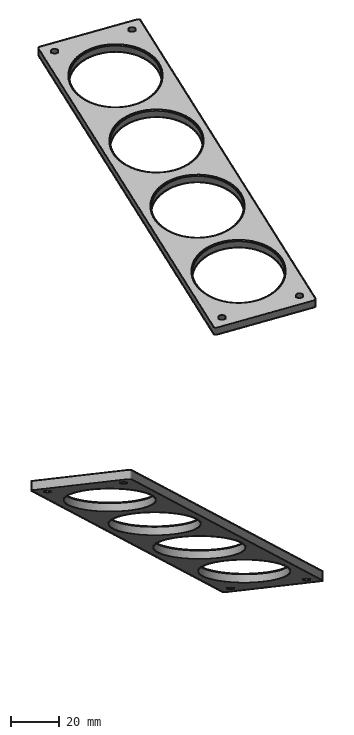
import cadquery as cq

length = 190.0
width = 46.0
thickness = 4.0
corner_radius = 1.1

opening_count = 4
opening_pitch = 44.0
opening_diameter = 38.4
opening_chamfer = 0.5

mount_diameter = 3.0
mount_spacing_x = 180.0
mount_spacing_y = 35.0


def make_plate():
    """Flat plate with its base at Z = 0 and rounded vertical corners."""
    plate = cq.Workplane("XY").box(length, width, thickness, centered=(True, True, False))
    return plate.edges("|Z").fillet(corner_radius)


def make_opening_cutters():
    """Through cylinders in a row along X, each widening into a chamfer at the top face."""
    row = cq.Workplane("XY").rarray(opening_pitch, 1.9, opening_count, 1)
    cylinders = row.circle(opening_diameter / 2).extrude(thickness)
    rim_diameter = opening_diameter + 2 * opening_chamfer
    top_row = cq.Workplane("XY", origin=(0, 0, thickness)).rarray(opening_pitch, 1.9, opening_count, 1)
    chamfers = top_row.circle(rim_diameter / 2).extrude(-opening_chamfer, taper=45)
    return cylinders.union(chamfers)


def make_mount_cutters():
    """Through cylinders at the four mounting positions."""
    positions = cq.Workplane("XY").rarray(mount_spacing_x, mount_spacing_y, 2, 2)
    return positions.circle(mount_diameter / 2).extrude(thickness)


result = make_plate().cut(make_opening_cutters()).cut(make_mount_cutters())